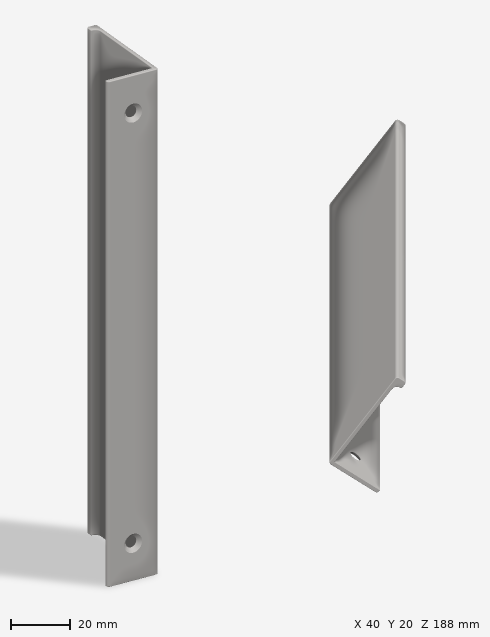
import cadquery as cq

width = 40.0
depth = 20.0
length = 188.0
wall = 1.5

outer_radius = 1.0

bead_width = 3.0
bead_depth = 4.0
bead_nose_radius = 0.5
bead_root_radius = bead_depth - wall - bead_nose_radius

end_radius = 0.3

hole_diameter = 4.2
countersink_diameter = 7.0
countersink_angle = 90.0
hole_spacing = 160.0

back_y = depth / 2
front_y = -depth / 2
left_x = -width / 2
right_x = width / 2
inner_x = right_x - wall
inner_y = back_y - wall


def angle_profile():
    """Closed L-shaped outline with a bead on the free edge of the wide flange."""
    bead_x = left_x + bead_width
    bead_y = back_y - bead_depth
    return (
        cq.Workplane("XY", origin=(0, 0, -length / 2))
        .moveTo(left_x + outer_radius, back_y)
        .lineTo(right_x - outer_radius, back_y)
        .radiusArc((right_x, back_y - outer_radius), outer_radius)
        .lineTo(right_x, front_y + outer_radius)
        .radiusArc((right_x - outer_radius, front_y), outer_radius)
        .lineTo(inner_x, front_y)
        .lineTo(inner_x, inner_y)
        .lineTo(bead_x + bead_root_radius, inner_y)
        .radiusArc((bead_x, inner_y - bead_root_radius), -bead_root_radius)
        .radiusArc((bead_x - bead_nose_radius, bead_y), bead_nose_radius)
        .lineTo(left_x + outer_radius, bead_y)
        .radiusArc((left_x, bead_y + outer_radius), outer_radius)
        .lineTo(left_x, back_y - outer_radius)
        .radiusArc((left_x + outer_radius, back_y), outer_radius)
        .close()
    )


def round_ends(body):
    """Round both end outlines, leaving the inner edge of the narrow flange sharp."""
    margin = wall / 4
    sharp_edges = cq.selectors.BoxSelector(
        (inner_x - margin, front_y, -length),
        (inner_x + margin, back_y, length),
    )
    return body.edges("<Z or >Z").edges(cq.selectors.InverseSelector(sharp_edges)).fillet(end_radius)


def cut_mounting_holes(body):
    """Two holes along X at mid depth, countersunk from the outer face."""
    return (
        body.faces(">X")
        .workplane(origin=(right_x, 0, 0))
        .pushPoints([(0, -hole_spacing / 2), (0, hole_spacing / 2)])
        .cskHole(hole_diameter, countersink_diameter, countersink_angle)
    )


bar = angle_profile().extrude(length)
result = cut_mounting_holes(round_ends(bar))